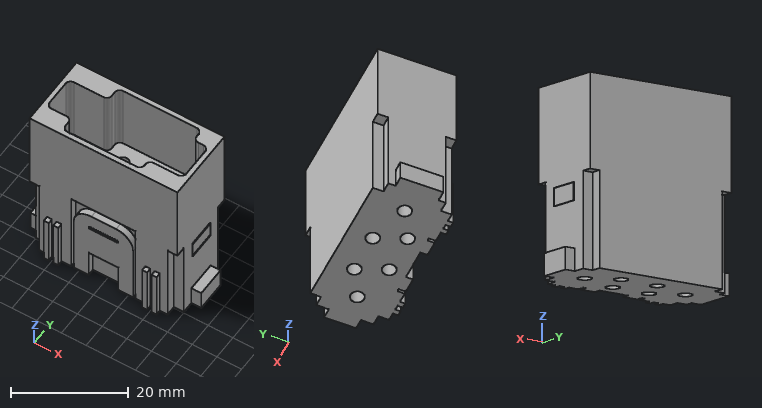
import cadquery as cq

body_length = 30.0
body_depth = 14.7
body_height = 34.0
half_length = body_length / 2
half_depth = body_depth / 2
front_y = -half_depth

notch_size = 2.0
notch_height = 17.1

cavity_end_wall = 1.0
cavity_side_wall = 1.0
cavity_depth = 14.0
cavity_corner_radius = 1.0
cavity_right = half_length - cavity_end_wall
cavity_back = half_depth - cavity_side_wall
back_left_step = (-5.95, 3.4)
back_right_step = (11.0, 3.8)
front_left_step = (-8.95, -3.55)
front_right_step = (7.05, -4.1)

contact_diameter = 2.5
contact_centres = [(-2.67, 2.73), (4.98, 2.73), (-10.46, 0.28)]

tab_reach = 2.0
tab_height = 4.0
left_tab_width = 8.0
right_tab_width = 6.0

rib_width = 1.0
rib_reach = 1.0
rib_height = 10.0
rib_offsets = (9.0, 10.92)

recess_width = 13.0
recess_height = 18.0
recess_depth = 1.35
tongue_width = 12.0
tongue_height = 16.0
tongue_radius = 3.5
window_width = 6.0
window_height = 6.0
groove_length = 6.0
groove_width = 0.5
groove_depth = 0.5
groove_z = 12.77

pad_width = 5.6
pad_height = 3.2
pad_thickness = 0.15
pad_z = 14.0


def block(x_range, y_range, z_range):
    """Box spanning the given (low, high) range on each axis."""
    lows, highs = zip(x_range, y_range, z_range)
    sizes = [high - low for low, high in zip(lows, highs)]
    return cq.Workplane("XY").box(*sizes, centered=False).translate(lows)


def centred(width, middle=0.0):
    """(low, high) range of the given width about a middle value."""
    return (middle - width / 2, middle + width / 2)


def corner_notches():
    notch = cq.Workplane("XY").rect(2 * notch_size, 2 * notch_size).extrude(notch_height)
    notches = cq.Workplane("XY")
    for x in (-half_length, half_length):
        for y in (-half_depth, half_depth):
            notches = notches.add(notch.translate((x, y, 0)))
    return notches.combine()


def cavity():
    outline = [
        (-cavity_right, back_left_step[1]),
        back_left_step,
        (back_left_step[0], cavity_back),
        (back_right_step[0], cavity_back),
        back_right_step,
        (cavity_right, back_right_step[1]),
        (cavity_right, front_right_step[1]),
        front_right_step,
        (front_right_step[0], -cavity_back),
        (front_left_step[0], -cavity_back),
        front_left_step,
        (-cavity_right, front_left_step[1]),
    ]
    pocket = cq.Workplane("XY").polyline(outline).close().extrude(cavity_depth)
    pocket = pocket.edges("|Z").fillet(cavity_corner_radius)
    return pocket.translate((0, 0, body_height - cavity_depth))


def contact_holes():
    centres = contact_centres + [(-x, -y) for x, y in contact_centres]
    return cq.Workplane("XY").pushPoints(centres).circle(contact_diameter / 2).extrude(body_height)


def end_tabs():
    left = block((-half_length - tab_reach, -half_length), centred(left_tab_width), (0, tab_height))
    right = block((half_length, half_length + tab_reach), centred(right_tab_width), (0, tab_height))
    return left.add(right).combine()


def grip_ribs():
    ribs = cq.Workplane("XY")
    for side in (-1, 1):
        for offset in rib_offsets:
            x_range = centred(rib_width, side * offset)
            ribs = ribs.add(block(x_range, (front_y - rib_reach, front_y), (0, rib_height)))
    return ribs.combine()


def front_recess():
    return block(centred(recess_width), (front_y, front_y + recess_depth), (0, recess_height))


def latch_tongue():
    y_range = (front_y, front_y + recess_depth)
    tongue = block(centred(tongue_width), y_range, (0, tongue_height))
    tongue = tongue.faces(">Z").edges("|Y").fillet(tongue_radius)
    window = block(centred(window_width), y_range, (0, window_height))
    groove = (
        cq.Workplane("XZ", origin=(0, front_y, groove_z))
        .slot2D(groove_length, groove_width)
        .extrude(-groove_depth)
    )
    return tongue.cut(window).cut(groove)


def end_pad():
    return block(
        (half_length, half_length + pad_thickness), centred(pad_width), centred(pad_height, pad_z)
    )


body = block(centred(body_length), centred(body_depth), (0, body_height))
body = body.cut(corner_notches()).cut(front_recess())
body = body.union(latch_tongue())
body = body.cut(cavity()).cut(contact_holes())
body = body.union(end_tabs()).union(end_pad()).union(grip_ribs())

result = body